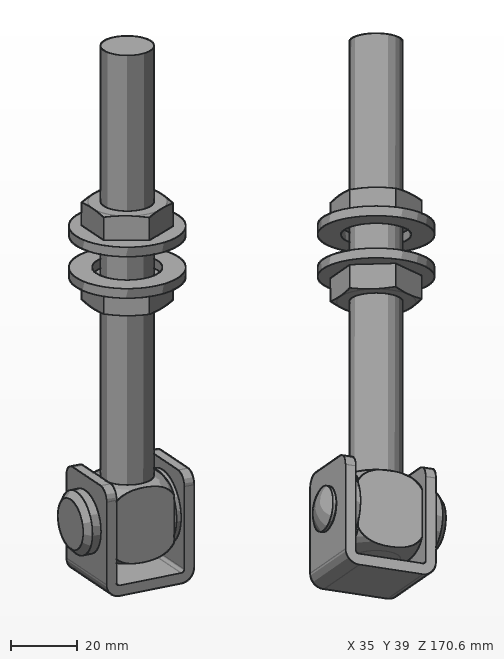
import cadquery as cq
import math

rod_diameter = 16.0
overall_height = 170.6

nut_across_flats = 23.7
nut_height = 7.8
nut_chamfer_height = 0.5
washer_diameter = 35.0
washer_bore = 21.0
washer_thickness = 3.0
clamp_gap = 10.2
clamp_center_z = 104.5

pin_axis_z = 20.6
pin_diameter = 12.5
head_diameter = 20.0
head_length = 5.0
head_chamfer = 2.0
rivet_diameter = 14.0
rivet_rim_length = 1.0
rivet_dome_height = 2.2

block_width = 20.0
block_depth = 21.0
block_center_z = 20.1
block_height = 25.0
block_end_radius = 7.2
block_round_radius = 7.8

spacer_diameter = 23.0
spacer_thickness = 1.5

leg_clearance = 0.5
bracket_width = 25.0
bracket_height = 35.0
bracket_thickness = 3.4
bracket_bend_radius = 4.5
bracket_corner_radius = 4.0

block_top_z = block_center_z + block_height / 2
block_rear_y = block_depth / 2
bracket_front_y = -block_depth / 2 - bracket_thickness
bracket_rear_y = block_rear_y + spacer_thickness + leg_clearance + bracket_thickness
bracket_depth = bracket_rear_y - bracket_front_y
bracket_center_y = (bracket_rear_y + bracket_front_y) / 2


def cylinder_along_y(diameter, start_y, end_y):
    """Cylinder on the hinge axis between two Y positions."""
    plane = cq.Workplane("XZ", origin=(0, start_y, pin_axis_z))
    return plane.circle(diameter / 2).extrude(start_y - end_y)


pin_bore = cylinder_along_y(pin_diameter, bracket_front_y, bracket_rear_y)


def make_rod():
    plane = cq.Workplane("XY", origin=(0, 0, block_top_z))
    return plane.circle(rod_diameter / 2).extrude(overall_height - block_top_z)


def make_washer(side):
    """Washer above (side = 1) or below (side = -1) the clamping gap."""
    plane = cq.Workplane("XY", origin=(0, 0, clamp_center_z + side * clamp_gap / 2))
    return plane.circle(washer_diameter / 2).circle(washer_bore / 2).extrude(side * washer_thickness)


def make_nut(side):
    """Hex nut against the outer face of a washer, its outer corners cut by a cone."""
    inner_z = clamp_center_z + side * (clamp_gap / 2 + washer_thickness)
    outer_z = inner_z + side * nut_height
    chamfer_z = outer_z - side * nut_chamfer_height
    corner_diameter = nut_across_flats / math.cos(math.pi / 6)
    hexagon = (
        cq.Workplane("XY", origin=(0, 0, inner_z))
        .polygon(6, corner_diameter)
        .circle(rod_diameter / 2)
        .extrude(side * nut_height)
    )
    envelope = (
        cq.Workplane("XZ")
        .moveTo(0, inner_z)
        .lineTo(corner_diameter / 2, inner_z)
        .lineTo(corner_diameter / 2, chamfer_z)
        .lineTo(nut_across_flats / 2, outer_z)
        .lineTo(0, outer_z)
        .close()
        .revolve(360, (0, 0, 0), (0, 1, 0))
    )
    return hexagon.intersect(envelope)


def make_block():
    """Rectangular block rounded at both ends, bored for the pin."""
    blank = (
        cq.Workplane("XY")
        .box(block_width, block_depth, block_height)
        .translate((0, 0, block_center_z))
    )
    envelope = (
        cq.Workplane("XY")
        .cylinder(block_height, block_end_radius + block_round_radius)
        .faces("|Z")
        .edges()
        .fillet(block_round_radius)
        .translate((0, 0, block_center_z))
    )
    return blank.intersect(envelope).cut(pin_bore)


def make_spacer():
    disc = cylinder_along_y(spacer_diameter, block_rear_y, block_rear_y + spacer_thickness)
    return disc.cut(pin_bore)


def make_bracket():
    """Strip bent into a U, open at the top, with rounded leg corners and a bore for the pin."""
    outer = (
        cq.Workplane("XY")
        .box(bracket_width, bracket_depth, bracket_height, centered=(True, True, False))
        .edges("|X and <Z")
        .fillet(bracket_bend_radius)
        .edges("|Y and >Z")
        .fillet(bracket_corner_radius)
    )
    inner = (
        cq.Workplane("XY", origin=(0, 0, bracket_thickness))
        .box(
            bracket_width,
            bracket_depth - 2 * bracket_thickness,
            bracket_height,
            centered=(True, True, False),
        )
        .edges("|X and <Z")
        .fillet(bracket_bend_radius - bracket_thickness)
    )
    return outer.cut(inner).translate((0, bracket_center_y, 0)).cut(pin_bore)


def make_pin():
    """Shank filling the bore, with a head in front and a domed rivet end behind."""
    head_start_y = bracket_front_y - leg_clearance
    head_end_y = head_start_y - head_length
    rim_start_y = bracket_rear_y + leg_clearance
    rim_end_y = rim_start_y + rivet_rim_length
    dome_end_y = rim_end_y + rivet_dome_height
    dome_mid_radius = rivet_diameter / 4
    sphere_radius = ((rivet_diameter / 2) ** 2 + rivet_dome_height**2) / (2 * rivet_dome_height)
    sphere_center_y = dome_end_y - sphere_radius
    dome_mid_y = sphere_center_y + math.sqrt(sphere_radius**2 - dome_mid_radius**2)
    return (
        cq.Workplane("XY")
        .moveTo(0, head_end_y)
        .lineTo(head_diameter / 2 - head_chamfer, head_end_y)
        .lineTo(head_diameter / 2, head_end_y + head_chamfer)
        .lineTo(head_diameter / 2, head_start_y)
        .lineTo(pin_diameter / 2, head_start_y)
        .lineTo(pin_diameter / 2, rim_start_y)
        .lineTo(rivet_diameter / 2, rim_start_y)
        .lineTo(rivet_diameter / 2, rim_end_y)
        .threePointArc((dome_mid_radius, dome_mid_y), (0, dome_end_y))
        .close()
        .revolve(360, (0, 0, 0), (0, 1, 0))
        .translate((0, 0, pin_axis_z))
    )


rod = make_rod()
washers = [make_washer(side) for side in (1, -1)]
nuts = [make_nut(side) for side in (1, -1)]
block = make_block()
spacer = make_spacer()
bracket = make_bracket()
pin = make_pin()

result = cq.Compound.makeCompound(
    [
        rod.val(),
        *[washer.val() for washer in washers],
        *[nut.val() for nut in nuts],
        block.val(),
        spacer.val(),
        bracket.val(),
        pin.val(),
    ]
)